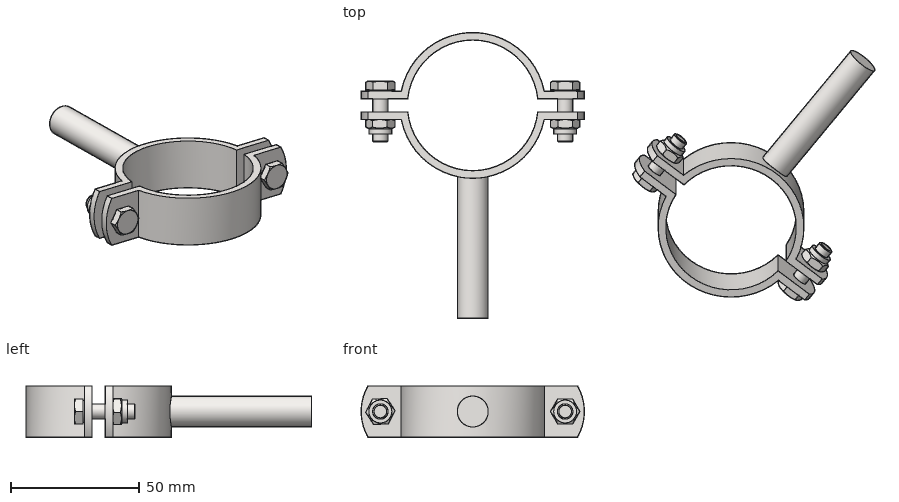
import cadquery as cq
import math

ring_outer_radius = 28.4
wall = 3.0
ring_inner_radius = ring_outer_radius - wall
width = 20.0
split_gap = 5.0
lug_inner_y = split_gap / 2
lug_outer_y = lug_inner_y + wall
span = 87.0
lug_end_radius = 20.0

rod_diameter = 12.0
overall_length = 111.4
rod_end_y = ring_outer_radius - overall_length

bolt_x = 36.0
shank_diameter = 6.0
shank_end_y = -14.3
tip_chamfer_height = 0.3
tip_chamfer_width = 0.6
hex_flats = 9.9
hex_corners = hex_flats / math.cos(math.radians(30))
washer_face_diameter = 8.7
washer_face_height = 0.6
head_height = 3.3
nut_height = 3.7
collar_diameter = 8.9
collar_height = 2.0
corner_chamfer_height = 0.5
corner_chamfer_width = 0.8
nut_cone_height = 0.8
nut_turns = {-1: 3.0, 1: 0.0}


def cylinder_y(x, start_y, end_y, diameter):
    """Cylinder along Y between two Y positions, centred on Z = 0."""
    plane = cq.Plane(origin=(x, start_y, 0), xDir=(1, 0, 0), normal=(0, -1, 0))
    return cq.Workplane(plane).circle(diameter / 2).extrude(start_y - end_y)


def make_half(side):
    """Half ring with two drilled lugs; side is +1 for +Y and -1 for -Y."""
    inner_x = math.sqrt(ring_inner_radius**2 - lug_inner_y**2)
    outer_x = math.sqrt(ring_outer_radius**2 - lug_outer_y**2)
    end_x = span / 2
    inner_y = side * lug_inner_y
    outer_y = side * lug_outer_y
    half = (
        cq.Workplane("XY")
        .workplane(offset=-width / 2)
        .moveTo(inner_x, inner_y)
        .lineTo(end_x, inner_y)
        .lineTo(end_x, outer_y)
        .lineTo(outer_x, outer_y)
        .threePointArc((0, side * ring_outer_radius), (-outer_x, outer_y))
        .lineTo(-end_x, outer_y)
        .lineTo(-end_x, inner_y)
        .lineTo(-inner_x, inner_y)
        .threePointArc((0, side * ring_inner_radius), (inner_x, inner_y))
        .close()
        .extrude(width)
    )
    return half.intersect(make_lug_end_envelope()).cut(make_bolt_holes())


def make_lug_end_envelope():
    """Block whose two X ends are arcs, rounding the lug ends."""
    half_width = width / 2
    end_x = span / 2
    corner_x = end_x - lug_end_radius + math.sqrt(lug_end_radius**2 - half_width**2)
    return (
        cq.Workplane("XZ")
        .moveTo(-corner_x, -half_width)
        .lineTo(corner_x, -half_width)
        .threePointArc((end_x, 0), (corner_x, half_width))
        .lineTo(-corner_x, half_width)
        .threePointArc((-end_x, 0), (-corner_x, -half_width))
        .close()
        .extrude(ring_outer_radius, both=True)
    )


def make_bolt_holes():
    """Cutters for the bolt holes through both pairs of lugs."""
    holes = cylinder_y(-bolt_x, lug_outer_y, -lug_outer_y, shank_diameter)
    return holes.add(cylinder_y(bolt_x, lug_outer_y, -lug_outer_y, shank_diameter)).combine()


def make_handle_half():
    """Lower half ring with the rod welded to its outside."""
    rod = cylinder_y(0, 0, rod_end_y, rod_diameter)
    mid_wall_radius = ring_inner_radius + wall / 2
    ring_core = cq.Workplane("XY").circle(mid_wall_radius).extrude(width / 2, both=True)
    return make_half(-1).union(rod.cut(ring_core))


def make_hex(x, base_y, height, direction):
    """Sharp-cornered hexagon along Y, growing in the given Y direction."""
    plane = cq.Plane(origin=(x, base_y, 0), xDir=(1, 0, 0), normal=(0, direction, 0))
    return cq.Workplane(plane).polygon(6, hex_corners).extrude(height)


def make_bolt(side):
    """Hex bolt with a washer face under its head."""
    x = side * bolt_x
    head_base_y = lug_outer_y + washer_face_height
    head_top_y = head_base_y + head_height
    corner_limit = cylinder_y(x, head_top_y, head_base_y, hex_corners)
    corner_limit = corner_limit.faces(">Y").chamfer(corner_chamfer_height, corner_chamfer_width)
    head = make_hex(x, head_base_y, head_height, 1).intersect(corner_limit)
    washer_face = cylinder_y(x, head_base_y, lug_outer_y, washer_face_diameter)
    shank = cylinder_y(x, head_base_y, shank_end_y, shank_diameter)
    shank = shank.faces("<Y").chamfer(tip_chamfer_height, tip_chamfer_width)
    return head.union(washer_face).union(shank)


def make_nut(side):
    """Hex nut with a round collar, bored to fit the shank."""
    x = side * bolt_x
    collar_base_y = -lug_outer_y - nut_height
    collar_end_y = collar_base_y - collar_height
    corner_limit = cylinder_y(x, -lug_outer_y, collar_base_y, hex_corners)
    corner_limit = corner_limit.faces(">Y").chamfer(corner_chamfer_height, corner_chamfer_width)
    corner_limit = corner_limit.faces("<Y").chamfer(nut_cone_height, (hex_corners - collar_diameter) / 2)
    body = make_hex(x, -lug_outer_y, nut_height, -1)
    body = body.rotate((x, 0, 0), (x, 1, 0), -nut_turns[side]).intersect(corner_limit)
    collar = cylinder_y(x, collar_base_y, collar_end_y, collar_diameter)
    bore = cylinder_y(x, -lug_outer_y, collar_end_y, shank_diameter)
    return body.union(collar).cut(bore)


plain_half = make_half(1)
handle_half = make_handle_half()
bolts = [make_bolt(side).val() for side in (-1, 1)]
nuts = [make_nut(side).val() for side in (-1, 1)]

result = cq.Compound.makeCompound([plain_half.val(), handle_half.val(), *bolts, *nuts])